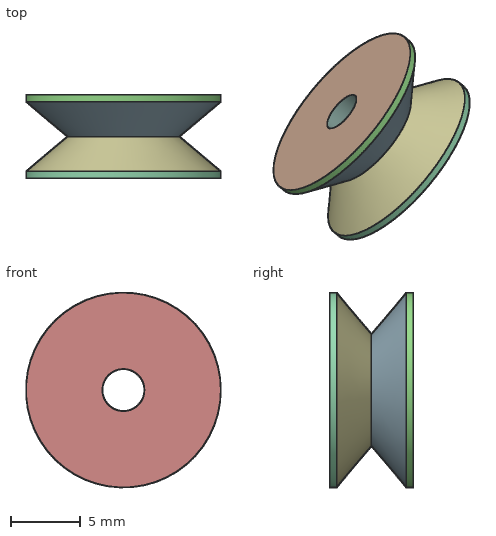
import cadquery as cq

outer_diameter = 14.0
width = 6.0
bore_diameter = 3.0
root_diameter = 8.06
rim_width = 0.5

outer_radius = outer_diameter / 2
bore_radius = bore_diameter / 2
root_radius = root_diameter / 2
half_width = width / 2
groove_half_width = half_width - rim_width

section = (
    cq.Workplane("XY")
    .moveTo(bore_radius, -half_width)
    .lineTo(outer_radius, -half_width)
    .lineTo(outer_radius, -groove_half_width)
    .lineTo(root_radius, 0)
    .lineTo(outer_radius, groove_half_width)
    .lineTo(outer_radius, half_width)
    .lineTo(bore_radius, half_width)
    .close()
)

result = section.revolve(360, (0, 0, 0), (0, 1, 0))